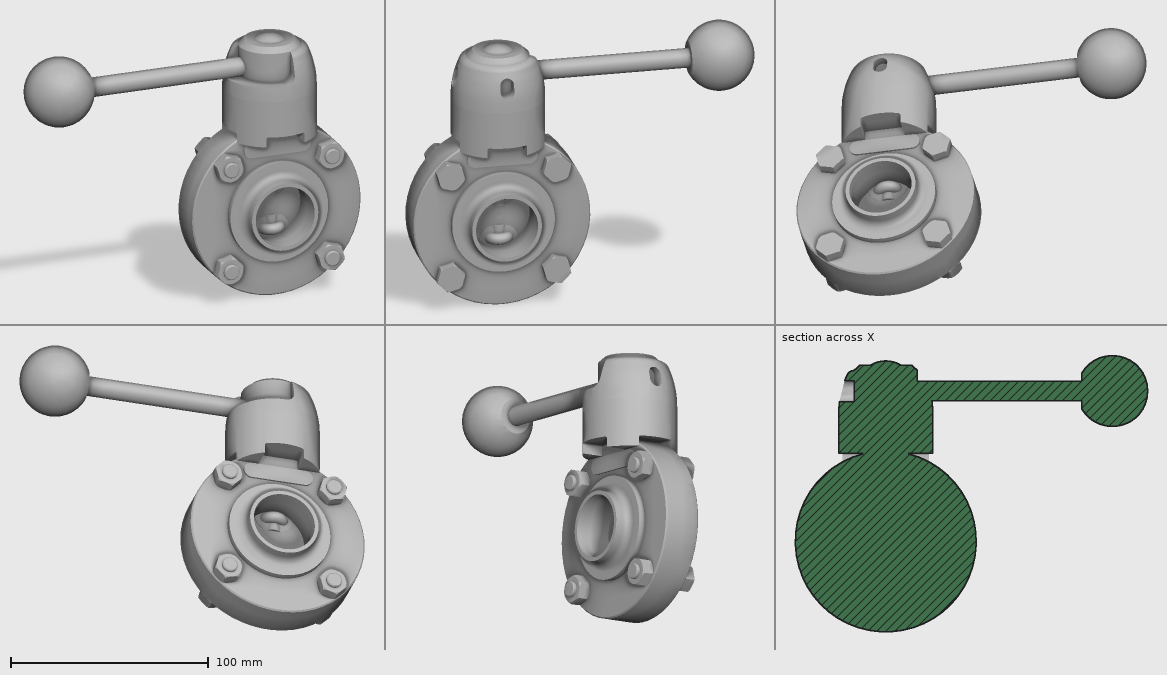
import cadquery as cq
import math


flange_radius = 45.8
flange_half_width = 10.0
flange_chamfer = 0.7

bore_radius = 16.0
tube_radius = 18.0
port_end = 21.4
collar_radius = 26.5
collar_end = 13.4
flare_radius = 4.0

seat_half_width = 1.8
disc_face_radius = 28.0 / 2
disc_crown = 2.9
disc_cap_radius = 4.1 / 2
hub_radius = 7.8
hub_bottom = 9.3
hub_height = 5.7
stem_radius = 8.0 / 2
stem_bottom = 5.3
boss_center_z = 14.5
boss_base_radius = 10.2
boss_base_x = 2.3
boss_top_radius = 5.3
boss_top_x = 3.2
seat_overlap = 1.8

bolt_spacing = 54.9
bolt_across_flats = 13.0
bolt_corner_radius = bolt_across_flats / 2 / math.cos(math.pi / 6)
head_end = 15.5
nut_end = 16.4
head_chamfer = 0.5
nut_chamfer = 0.9
stud_diameter = 8.0
stud_end = 18.2
stud_chamfer = 0.5

pad_length = 36.2
pad_height = 8.4
pad_center_z = 34.2
pad_thickness = 1.0

rod_diameter = 10.0
lever_z = 75.9
ball_diameter = 36.0
ball_center_y = -114.4
ball_flat_y = -98.7

bonnet_radius = 48.0 / 2
bonnet_bottom = 44.4
bonnet_shoulder = 63.5
rim_radius = 19.8
rim_bottom = 83.7
bonnet_top = 86.4
skirt_bottom = 39.0
skirt_notch_width = 20.5
skirt_notch_fillet = 0.9
core_radius = 16.0
cap_radius = 13.0
cap_top = 89.0
dome_radius = 7.7
dome_top = 91.2
stop_slot_width = 7.1
stop_slot_height = 10.3


def x_cylinder(radius, x_start, x_end):
    """Cylinder along the pipe axis."""
    return cq.Workplane("YZ").workplane(offset=x_start).circle(radius).extrude(x_end - x_start)


def z_cylinder(radius, z_start, z_end):
    """Cylinder along the stem axis."""
    return cq.Workplane("XY").workplane(offset=z_start).circle(radius).extrude(z_end - z_start)


def revolve_about_x(profile):
    """Revolve an (x, radius) outline about the pipe axis."""
    return profile.close().revolve(360, (0, 0, 0), (1, 0, 0))


def revolve_about_z(profile):
    """Revolve a (radius, z) outline about the stem axis."""
    return profile.close().revolve(360, (0, 0, 0), (0, 1, 0))


def make_port():
    """Collar, concave flare and tube on the +X side."""
    flare_end = collar_end + flare_radius
    flare_base_radius = tube_radius + flare_radius
    flare_inset = flare_radius * math.sqrt(0.5)
    flare_middle = (flare_end - flare_inset, flare_base_radius - flare_inset)
    profile = (
        cq.Workplane("XY")
        .moveTo(0, 0)
        .lineTo(0, collar_radius)
        .lineTo(collar_end, collar_radius)
        .lineTo(collar_end, flare_base_radius)
        .threePointArc(flare_middle, (flare_end, tube_radius))
        .lineTo(port_end, tube_radius)
        .lineTo(port_end, 0)
    )
    return revolve_about_x(profile)


def make_label_pads():
    """Obround pads standing proud of both flange faces."""
    half_width = flange_half_width + pad_thickness
    return (
        cq.Workplane("YZ")
        .workplane(offset=-half_width)
        .center(0, pad_center_z)
        .slot2D(pad_length, pad_height)
        .extrude(2 * half_width)
    )


def make_body():
    """Flange, ports and label pads, bored through along the pipe axis."""
    flange = x_cylinder(flange_radius, -flange_half_width, flange_half_width)
    flange = flange.edges().chamfer(flange_chamfer)
    port = make_port()
    body = flange.union(port).union(port.mirror("YZ")).union(make_label_pads())
    return body.cut(x_cylinder(bore_radius, -port_end, port_end))


def make_disc_hub():
    """Upper stem hub: round-edged washer and stem, with a conical boss on each disc face."""
    hub_top = hub_bottom + hub_height
    edge_start = hub_radius - hub_height / 2
    washer_profile = (
        cq.Workplane("XZ")
        .moveTo(0, hub_bottom)
        .lineTo(edge_start, hub_bottom)
        .threePointArc((hub_radius, hub_bottom + hub_height / 2), (edge_start, hub_top))
        .lineTo(0, hub_top)
    )
    washer = revolve_about_z(washer_profile)
    stem = z_cylinder(stem_radius, stem_bottom, bore_radius + seat_overlap)
    boss_profile = (
        cq.Workplane("XY")
        .moveTo(0, 0)
        .lineTo(0, boss_base_radius)
        .lineTo(boss_base_x, boss_base_radius)
        .lineTo(boss_top_x, boss_top_radius)
        .lineTo(boss_top_x, 0)
    )
    boss = revolve_about_x(boss_profile).translate((0, 0, boss_center_z))
    boss = boss.union(boss.mirror("YZ"))
    boss = boss.intersect(x_cylinder(bore_radius + seat_overlap, -boss_top_x, boss_top_x))
    return washer.union(stem).union(boss)


def make_butterfly_disc():
    """Closed disc with shallow conical faces, and a hub at the top and the bottom."""
    seat = x_cylinder(bore_radius + seat_overlap, -seat_half_width, seat_half_width)
    face = (
        cq.Workplane("XY")
        .moveTo(0, 0)
        .lineTo(0, disc_face_radius)
        .lineTo(seat_half_width, disc_face_radius)
        .lineTo(disc_crown, disc_cap_radius)
        .lineTo(disc_crown, 0)
    )
    face = revolve_about_x(face)
    hub = make_disc_hub()
    return seat.union(face).union(face.mirror("YZ")).union(hub).union(hub.mirror("XY"))


def make_hexagon(x_start, x_end):
    """Hexagon prism along X with flats facing +Y and -Y."""
    return (
        cq.Workplane("YZ")
        .workplane(offset=x_start)
        .polygon(6, 2 * bolt_corner_radius)
        .extrude(x_end - x_start)
        .rotate((0, 0, 0), (1, 0, 0), 30)
    )


def make_bolt():
    """Bolt along X: head on the -X side, nut and stud end on the +X side, corners turned off."""
    head_turning = x_cylinder(bolt_corner_radius, -head_end, -flange_half_width)
    head_turning = head_turning.faces("<X").chamfer(head_chamfer)
    head = make_hexagon(-head_end, -flange_half_width).intersect(head_turning)
    nut_turning = x_cylinder(bolt_corner_radius, flange_half_width, nut_end)
    nut_turning = nut_turning.edges().chamfer(nut_chamfer)
    nut = make_hexagon(flange_half_width, nut_end).intersect(nut_turning)
    stud = x_cylinder(stud_diameter / 2, -flange_half_width, stud_end)
    stud = stud.faces(">X").chamfer(stud_chamfer)
    return stud.union(head).union(nut)


def make_bolts():
    """Four bolts on the flange diagonals, each with a hexagon flat facing the centre."""
    bolt_circle_radius = bolt_spacing / math.sqrt(2)
    first = make_bolt().translate((0, bolt_circle_radius, 0))
    return [first.rotate((0, 0, 0), (1, 0, 0), angle) for angle in (45, 135, 225, 315)]


def make_bonnet_shell():
    """Tapered bonnet with a rounded rim, running straight down into the skirt."""
    profile = (
        cq.Workplane("XZ")
        .moveTo(0, skirt_bottom)
        .lineTo(bonnet_radius, skirt_bottom)
        .lineTo(bonnet_radius, bonnet_shoulder)
        .tangentArcPoint((rim_radius, rim_bottom), relative=False)
        .tangentArcPoint((core_radius, bonnet_top), relative=False)
        .lineTo(0, bonnet_top)
    )
    return revolve_about_z(profile)


def make_skirt_notch(width):
    """Notch along X through the skirt, with rounded upper corners."""
    height = bonnet_bottom - skirt_bottom
    return (
        cq.Workplane("XY")
        .workplane(offset=skirt_bottom)
        .rect(2 * bonnet_radius, width)
        .extrude(height)
        .edges("|X and >Z")
        .fillet(skirt_notch_fillet)
    )


def make_lever_path():
    """Quarter-turn clearance for the lever from -Y to +X, open at the top."""
    rod_radius = rod_diameter / 2
    reach = 2 * bonnet_radius
    height = bonnet_top - lever_z
    channel = (
        cq.Workplane("YZ")
        .center(0, lever_z)
        .circle(rod_radius)
        .extrude(reach)
        .union(
            cq.Workplane("XY")
            .workplane(offset=lever_z)
            .center(reach / 2, 0)
            .rect(reach, rod_diameter)
            .extrude(height)
        )
    )
    sector = (
        cq.Workplane("XY")
        .workplane(offset=lever_z - rod_radius)
        .center(reach / 2, -reach / 2)
        .rect(reach, reach)
        .extrude(height + rod_radius)
    )
    path = channel.union(channel.rotate((0, 0, 0), (0, 0, 1), -90)).union(sector)
    return path.cut(z_cylinder(core_radius, skirt_bottom, dome_top))


def make_stop_slot():
    """Upright obround slot from the -X side into the core."""
    return (
        cq.Workplane("YZ")
        .workplane(offset=-bonnet_radius)
        .center(0, lever_z)
        .slot2D(stop_slot_height, stop_slot_width, 90)
        .extrude(bonnet_radius - core_radius)
    )


def make_cap():
    """Conical cap with a shallow dome, on the core top."""
    dome_height = dome_top - cap_top
    dome_curvature_radius = (dome_radius**2 + dome_height**2) / (2 * dome_height)
    half_angle = math.asin(dome_radius / dome_curvature_radius) / 2
    dome_middle = (
        dome_curvature_radius * math.sin(half_angle),
        dome_top - dome_curvature_radius * (1 - math.cos(half_angle)),
    )
    profile = (
        cq.Workplane("XZ")
        .moveTo(0, lever_z)
        .lineTo(core_radius, lever_z)
        .lineTo(core_radius, bonnet_top)
        .lineTo(cap_radius, cap_top)
        .lineTo(dome_radius, cap_top)
        .threePointArc(dome_middle, (0, dome_top))
    )
    return revolve_about_z(profile)


def make_bonnet():
    """Bonnet with skirt notches, lever path, stop slots and cap."""
    bonnet = make_bonnet_shell().cut(make_skirt_notch(skirt_notch_width))
    flange_notch = make_skirt_notch(2 * flange_half_width).rotate((0, 0, 0), (0, 0, 1), 90)
    bonnet = bonnet.cut(flange_notch).cut(make_lever_path())
    stop_slot = make_stop_slot()
    bonnet = bonnet.cut(stop_slot).cut(stop_slot.rotate((0, 0, 0), (0, 0, 1), -90))
    return bonnet.union(make_cap())


def make_lever():
    """Round rod ending in a ball that is flattened where the rod enters it."""
    rod = cq.Workplane("XZ").center(0, lever_z).circle(rod_diameter / 2).extrude(-ball_center_y)
    ball_radius = ball_diameter / 2
    ball = cq.Workplane("XY").sphere(ball_radius).translate((0, ball_center_y, lever_z))
    trim = (
        cq.Workplane("XZ")
        .workplane(offset=-ball_flat_y)
        .center(0, lever_z)
        .rect(ball_diameter, ball_diameter)
        .extrude(ball_diameter)
    )
    return rod.union(ball.intersect(trim))


result = make_body().union(make_butterfly_disc()).union(make_bonnet()).union(make_lever())
for bolt in make_bolts():
    result = result.union(bolt)